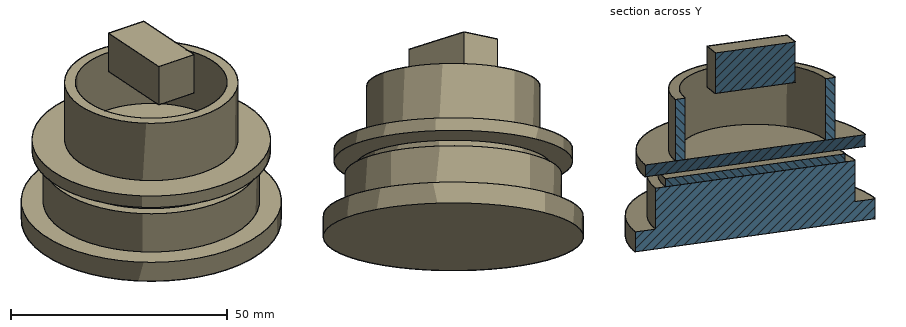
import cadquery as cq

foot_diameter = 60.0
foot_height = 5.0
body_diameter = 50.0
body_height = 10.0

gasket_diameter = 45.0
gasket_height = 2.0

plate_gap = 1.0
plate_diameter = 55.0
plate_height = 3.0

collar_outer_diameter = 40.0
collar_inner_diameter = 35.0
collar_height = 15.0

block_length = 20.0
block_width = 10.0
block_height = 10.0

body_bottom = foot_height
gasket_bottom = body_bottom + body_height
plate_bottom = gasket_bottom + gasket_height + plate_gap
collar_bottom = plate_bottom + plate_height
block_bottom = collar_bottom + collar_height


def make_disc(diameter, height, bottom):
    """Upright solid cylinder on the Z axis."""
    return cq.Workplane("XY").workplane(offset=bottom).circle(diameter / 2).extrude(height)


def make_housing():
    """Foot flange and round body as one stepped solid."""
    foot = make_disc(foot_diameter, foot_height, 0)
    body = make_disc(body_diameter, body_height, body_bottom)
    return foot.union(body)


def make_gasket():
    return make_disc(gasket_diameter, gasket_height, gasket_bottom)


def make_plate():
    return make_disc(plate_diameter, plate_height, plate_bottom)


def make_collar():
    """Tube with a bore running down to the plate."""
    outside = make_disc(collar_outer_diameter, collar_height, collar_bottom)
    bore = make_disc(collar_inner_diameter, collar_height, collar_bottom)
    return outside.cut(bore)


def make_block():
    """Rectangular bar, longest along X."""
    base = cq.Workplane("XY").workplane(offset=block_bottom)
    return base.rect(block_length, block_width).extrude(block_height)


housing = make_housing()
gasket = make_gasket()
plate = make_plate()
collar = make_collar()
block = make_block()

result = cq.Compound.makeCompound(
    [housing.val(), gasket.val(), plate.val(), collar.val(), block.val()]
)